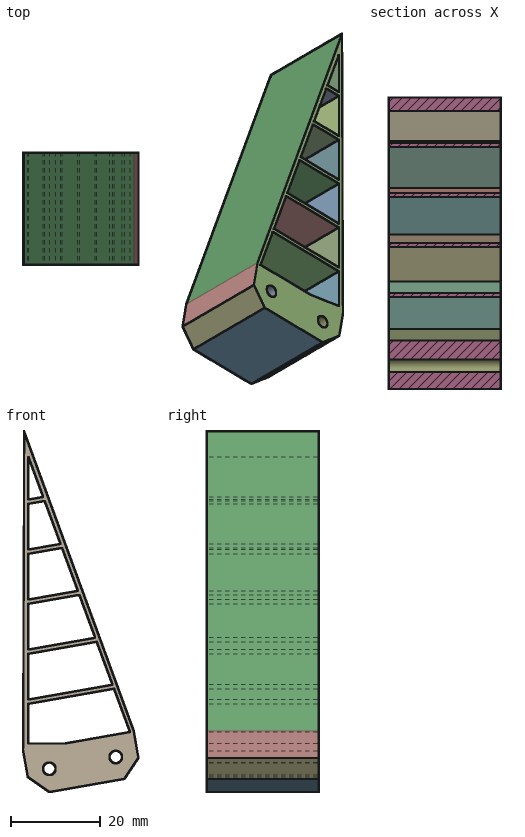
import cadquery as cq
import math

height = 80.3
depth = 25.0
tilt = math.tan(math.radians(10))

tip = (0.25, height)
left_shoulder = (0, 9.2)
left_corner = (1.05, 3.4)
bottom_corner = (5.85, 0)
base_width = 16.7
base_right = (bottom_corner[0] + base_width, base_width * tilt)
right_corner = (25.7, 7.6)
right_shoulder = (24.6, 13.65)

cavity_left = 1.2
cavity_floor = 10.8
cavity_top = 74.5
floor_bend = 9.15
cavity_right = 23.75

rib_count = 5
first_rib_top = 20.6
rib_pitch = 11.12
rib_height = 1.0

hole_diameter = 2.7
left_hole = (5.85, 5.2)
hole_spacing_x = 14.8
right_hole = (left_hole[0] + hole_spacing_x, left_hole[1] + hole_spacing_x * tilt)


def prism(points):
    """Extrude an XZ outline over the full depth, centred on Y = 0."""
    return cq.Workplane("XZ").polyline(points).close().extrude(depth / 2, both=True)


def rib(top):
    """Sloping band across the cavity, starting at the left wall."""
    rise = (cavity_right - cavity_left) * tilt
    return prism([
        (cavity_left, top),
        (cavity_left, top - rib_height),
        (cavity_right, top - rib_height + rise),
        (cavity_right, top + rise),
    ])


body = prism([
    tip, left_shoulder, left_corner, bottom_corner, base_right, right_corner, right_shoulder,
])

cavity = prism([
    (cavity_left, cavity_top),
    (cavity_left, cavity_floor),
    (floor_bend, cavity_floor),
    (cavity_right, cavity_floor + (cavity_right - floor_bend) * tilt),
])

for index in range(rib_count):
    cavity = cavity.cut(rib(first_rib_top + index * rib_pitch))

holes = (
    cq.Workplane("XZ")
    .pushPoints([left_hole, right_hole])
    .circle(hole_diameter / 2)
    .extrude(depth / 2, both=True)
)

result = body.cut(cavity).cut(holes)